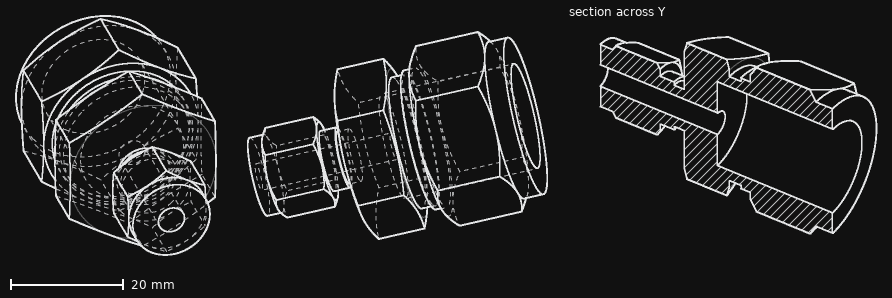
import cadquery as cq
import math

total_length = 49.25

large_nut_start = 3.5
large_nut_end = 17.5
collar_end = 19.45
body_hex_start = 21.9
body_hex_end = 31.5
small_neck_end = 33.6
small_nut_start = 36.55
small_nut_end = 46.65

large_nut_flats = 28.6
body_hex_flats = 27.0
small_nut_flats = 14.3

collar_diameter = 25.4
large_neck_diameter = 23.95
small_neck_diameter = 9.55
small_shoulder_diameter = 11.05

nut_chamfer_angle = 30.0
body_chamfer_angle = 15.0

tube_socket_diameter = 19.05
tube_socket_depth = 24.4
through_bore_diameter = 4.85

hex_sides = 6
quarter_turn = 90


def cylinder(start, end, diameter):
    """Round section between two stations along X."""
    return cq.Workplane("YZ").workplane(offset=start).circle(diameter / 2).extrude(end - start)


def chamfered_hex(start, end, flats, chamfer_angle):
    """Hexagon with corners up and down, its corners coned off at both ends."""
    flat_radius = flats / 2
    corner_radius = flat_radius / math.cos(math.pi / hex_sides)
    chamfer_length = (corner_radius - flat_radius) * math.tan(math.radians(chamfer_angle))

    prism = (
        cq.Workplane("YZ")
        .workplane(offset=start)
        .transformed(rotate=(0, 0, quarter_turn))
        .polygon(hex_sides, 2 * corner_radius)
        .extrude(end - start)
    )
    coned_envelope = (
        cq.Workplane("XY")
        .moveTo(start, 0)
        .lineTo(start, flat_radius)
        .lineTo(start + chamfer_length, corner_radius)
        .lineTo(end - chamfer_length, corner_radius)
        .lineTo(end, flat_radius)
        .lineTo(end, 0)
        .close()
        .revolve(360, (0, 0, 0), (1, 0, 0))
    )
    return prism.intersect(coned_envelope)


large_nut = chamfered_hex(large_nut_start, large_nut_end, large_nut_flats, nut_chamfer_angle)
large_nut = large_nut.union(cylinder(0, large_nut_start, large_nut_flats))

body = chamfered_hex(body_hex_start, body_hex_end, body_hex_flats, body_chamfer_angle)
body = body.union(cylinder(large_nut_end, collar_end, collar_diameter))
body = body.union(cylinder(collar_end, body_hex_start, large_neck_diameter))
body = body.union(cylinder(body_hex_end, small_neck_end, small_neck_diameter))
body = body.union(cylinder(small_neck_end, small_nut_start, small_shoulder_diameter))

small_nut = chamfered_hex(small_nut_start, small_nut_end, small_nut_flats, nut_chamfer_angle)
small_nut = small_nut.union(cylinder(small_nut_end, total_length, small_nut_flats))

result = (
    large_nut.union(body)
    .union(small_nut)
    .cut(cylinder(0, tube_socket_depth, tube_socket_diameter))
    .cut(cylinder(0, total_length, through_bore_diameter))
)